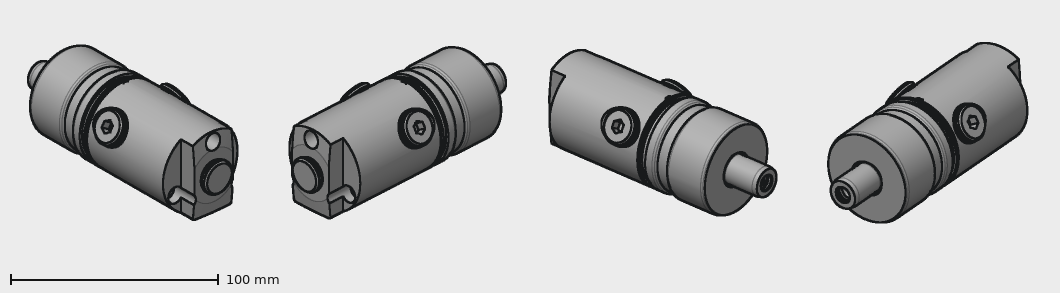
import cadquery as cq
import math


total_length = 131.1
body_dia = 48.0
groove_dia = 45.0
shaft_dia = 15.9
shaft_tip_dia = 14.7
shaft_tip_length = 2.5

collar_start = 19.4
collar_end = 43.9
collar_chamfer_length = 1.3
collar_chamfer_drop = 0.8
collar_front_round = 2.4
groove_edge_round = 1.7
wide_groove_end = 50.0
ring_end = 56.5
rim_start = 59.6
rim_length = 1.5
joint_width = 0.4
joint_depth = 0.4
housing_corner = 125.7
housing_end = 126.9
end_face_flat_dia = 29.5

body_radius = body_dia / 2
joint_start = rim_start + rim_length
housing_front = joint_start + joint_width
groove_radius = groove_dia / 2
groove_depth = body_radius - groove_radius

bore_mouth_dia = 8.5
bore_lip_dia = 7.5
bore_dia = 7.2
bore_end = 39.3
seal_groove_dia = 11.4
seal_groove_start = 2.2
seal_groove_end = 4.3

clearance_mouth_dia = 18.0
clearance_dia = 16.9
clearance_depth = 1.3

plug_height = total_length - housing_end
plug_neck_dia = 16.8
plug_rim_dia = 18.0
plug_top_dia = 15.9
plug_neck_height = 1.5
plug_rim_top = 3.08
hex_across_flats = 6.0
hex_depth = 5.2

port_count = 3
port_spacing = 360 / port_count
open_port_angle = 180
plugged_port_angles = (open_port_angle - port_spacing, open_port_angle + port_spacing)
port_x = 75.0
seat_height = 21.9
seat_dia = 18.6
seat_wall_overrun = 1.3

wrench_flat_start = 117.0
wrench_flat_width = 24.8
axial_hole_dia = 9.0
axial_hole_circle_radius = 18.5
axial_hole_depth = 15.7
underside_flat_start = 94.8
underside_flat_z = -21.1
notch_width = 2.9
notch_length = 1.3
notch_depth = 0.8


def disc(dia, start, end):
    """Cylinder about X between two stations."""
    return cq.Workplane("YZ", origin=(start, 0, 0)).circle(dia / 2).extrude(end - start)


def revolved_about_x(profile):
    """Solid of revolution from points (x, radius)."""
    return cq.Workplane("XY").polyline(profile).close().revolve(360, (0, 0, 0), (1, 0, 0))


def round_shoulder(turned, x, radius):
    """Rounds the circular edges at one station along X."""
    margin = 0.1
    slab = cq.selectors.BoxSelector(
        (x - margin, -body_dia, -body_dia), (x + margin, body_dia, body_dia), boundingbox=True
    )
    return turned.edges(slab).fillet(radius)


def turned_body():
    profile = [
        (0, 0),
        (0, shaft_tip_dia / 2),
        (shaft_tip_length, shaft_dia / 2),
        (collar_start, shaft_dia / 2),
        (collar_start, body_radius - collar_chamfer_drop),
        (collar_start + collar_chamfer_length, body_radius),
        (collar_end - groove_depth, body_radius),
        (collar_end, groove_radius),
        (wide_groove_end, groove_radius),
        (wide_groove_end + groove_depth, body_radius),
        (ring_end, body_radius),
        (ring_end, groove_radius),
        (rim_start, groove_radius),
        (rim_start, body_radius),
        (joint_start, body_radius),
        (joint_start, body_radius - joint_depth),
        (housing_front, body_radius - joint_depth),
        (housing_front, body_radius),
        (housing_corner, body_radius),
        (housing_end, end_face_flat_dia / 2),
        (housing_end, 0),
    ]
    turned = revolved_about_x(profile)
    turned = round_shoulder(turned, collar_start + collar_chamfer_length, collar_front_round)
    turned = round_shoulder(turned, collar_end - groove_depth, groove_edge_round)
    turned = round_shoulder(turned, wide_groove_end + groove_depth, groove_edge_round)
    return turned


def shaft_clearance():
    """Ring-shaped gap around the shaft, with a 45 degree mouth."""
    mouth_depth = (clearance_mouth_dia - clearance_dia) / 2
    profile = [
        (collar_start, shaft_dia / 2),
        (collar_start, clearance_mouth_dia / 2),
        (collar_start + mouth_depth, clearance_dia / 2),
        (collar_start + clearance_depth, clearance_dia / 2),
        (collar_start + clearance_depth, shaft_dia / 2),
    ]
    return revolved_about_x(profile)


def shaft_bore():
    """Blind bore with a 45 degree mouth, a lip and a seal groove behind the lip."""
    mouth_depth = (bore_mouth_dia - bore_lip_dia) / 2
    profile = [
        (0, 0),
        (0, bore_mouth_dia / 2),
        (mouth_depth, bore_lip_dia / 2),
        (seal_groove_start, bore_lip_dia / 2),
        (seal_groove_start, seal_groove_dia / 2),
        (seal_groove_end, seal_groove_dia / 2),
        (seal_groove_end, bore_dia / 2),
        (bore_end, bore_dia / 2),
        (bore_end, 0),
    ]
    return revolved_about_x(profile)


def plug():
    """Plug standing on the XY plane, without its socket."""
    profile = [
        (0, 0),
        (plug_neck_dia / 2, 0),
        (plug_neck_dia / 2, plug_neck_height),
        (plug_rim_dia / 2, plug_neck_height),
        (plug_rim_dia / 2, plug_rim_top),
        (plug_top_dia / 2, plug_height),
        (0, plug_height),
    ]
    return cq.Workplane("XZ").polyline(profile).close().revolve(360, (0, 0, 0), (0, 1, 0))


def hex_socket():
    """Hexagonal socket for a plug standing on the XY plane, with two flats facing along X."""
    across_corners = hex_across_flats / math.cos(math.pi / 6)
    return (
        cq.Workplane("XY", origin=(0, 0, plug_height - hex_depth))
        .transformed(rotate=(0, 0, 30))
        .polygon(6, across_corners)
        .extrude(hex_depth)
    )


def seat_pocket():
    """Flat seat with a 45 degree wall, for a port standing on the XY plane."""
    depth = body_radius - seat_height + seat_wall_overrun
    top_radius = seat_dia / 2 + depth
    profile = [(0, 0), (seat_dia / 2, 0), (top_radius, depth), (0, depth)]
    return cq.Workplane("XZ").polyline(profile).close().revolve(360, (0, 0, 0), (0, 1, 0))


def at_port(shape, angle):
    """Moves a shape from the XY plane to the port seat at an angle about X, measured from +Z."""
    return shape.translate((port_x, 0, seat_height)).rotate((0, 0, 0), (1, 0, 0), angle)


def at_end(shape):
    """Moves a shape from the XY plane to the middle of the end face."""
    return shape.rotate((0, 0, 0), (0, 1, 0), 90).translate((housing_end, 0, 0))


def wrench_flats():
    length = total_length - wrench_flat_start
    cutter = cq.Workplane("XY")
    for side in (-1, 1):
        flat = cq.Workplane("XY").box(length, body_dia, 2 * body_dia, centered=(False, True, True))
        offset = side * (wrench_flat_width + body_dia) / 2
        cutter = cutter.add(flat.translate((wrench_flat_start, offset, 0)))
    return cutter.combine()


def axial_holes():
    hole = disc(axial_hole_dia, housing_end - axial_hole_depth, total_length)
    hole = hole.translate((0, 0, axial_hole_circle_radius))
    cutter = cq.Workplane("XY")
    for i in range(port_count):
        cutter = cutter.add(hole.rotate((0, 0, 0), (1, 0, 0), i * port_spacing))
    return cutter.combine()


def underside_flat():
    length = total_length - underside_flat_start
    flat = cq.Workplane("XY").box(length, body_dia, body_dia, centered=(False, True, True))
    return flat.translate((underside_flat_start, 0, underside_flat_z - body_radius))


def rim_notch():
    notch = cq.Workplane("XY").box(notch_length, notch_width, 2 * notch_depth, centered=(False, True, True))
    return notch.translate((housing_front, 0, body_radius))


body = turned_body()

body = body.cut(shaft_clearance())
body = body.cut(shaft_bore())

body = body.cut(wrench_flats())
body = body.cut(underside_flat())
body = body.cut(rim_notch())

for angle in (*plugged_port_angles, open_port_angle):
    body = body.cut(at_port(seat_pocket(), angle))
for angle in plugged_port_angles:
    body = body.union(at_port(plug(), angle))
    body = body.cut(at_port(hex_socket(), angle))

body = body.cut(axial_holes())
body = body.union(at_end(plug()))

result = body